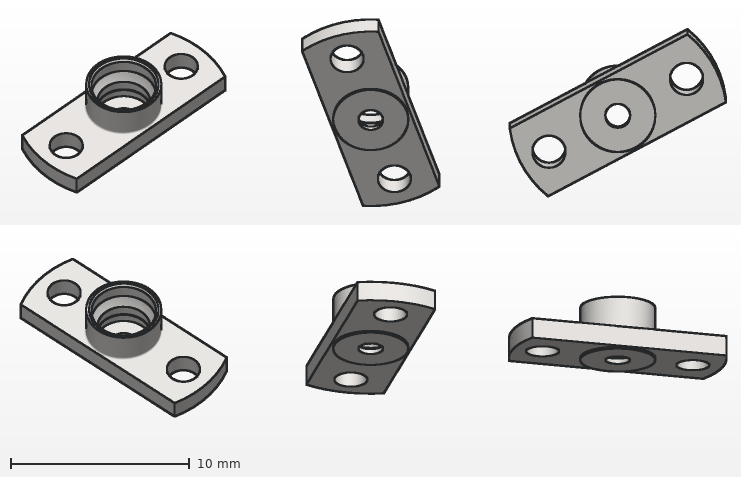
import cadquery as cq
import math

length = 12.16
width = 4.47
plate_bottom = 0.11
plate_top = 1.25
mount_hole_diameter = 1.85
mount_hole_offset = 4.38

boss_diameter = 4.2
total_height = 3.05
base_fillet = 0.12

mouth_chamfer = 0.13
bore_radius = 3.61 / 2
bore_bottom = 2.16
throat_radius = 2.94 / 2
throat_top = 1.63
throat_bottom = 1.01
undercut_radius = 3.17 / 2
undercut_top = 0.81
floor_height = 0.3
through_hole_diameter = 1.37


def make_plate():
    """Flange with parallel sides and ends rounded about the boss axis."""
    thickness = plate_top - plate_bottom
    disc = cq.Workplane("XY").workplane(offset=plate_bottom).circle(length / 2).extrude(thickness)
    strip = cq.Workplane("XY").workplane(offset=plate_bottom).rect(width, length).extrude(thickness)
    return disc.intersect(strip)


def make_boss():
    """Round boss that also stands slightly proud of the plate underside."""
    return cq.Workplane("XY").circle(boss_diameter / 2).extrude(total_height)


def make_base_fillet():
    """Concave ring blending the boss into the top of the plate."""
    boss_radius = boss_diameter / 2
    arc_inset = base_fillet * (1 - math.sqrt(0.5))
    return (
        cq.Workplane("XZ")
        .moveTo(0, plate_top)
        .lineTo(boss_radius + base_fillet, plate_top)
        .threePointArc(
            (boss_radius + arc_inset, plate_top + arc_inset),
            (boss_radius, plate_top + base_fillet),
        )
        .lineTo(0, plate_top + base_fillet)
        .close()
        .revolve(360, (0, 0, 0), (0, 1, 0))
    )


def make_bore():
    """Chamfered bore with a spherical seat, a throat and a flared undercut above the floor."""
    seat_depth = bore_bottom - throat_top
    centre_rise = (bore_radius**2 - throat_radius**2 - seat_depth**2) / (2 * seat_depth)
    centre_height = bore_bottom + centre_rise
    sphere_radius = math.hypot(bore_radius, centre_rise)
    seat_middle = (bore_bottom + throat_top) / 2
    seat_middle_radius = math.sqrt(sphere_radius**2 - (centre_height - seat_middle) ** 2)
    return (
        cq.Workplane("XZ")
        .moveTo(0, floor_height)
        .lineTo(undercut_radius, floor_height)
        .lineTo(undercut_radius, undercut_top)
        .lineTo(throat_radius, throat_bottom)
        .lineTo(throat_radius, throat_top)
        .threePointArc((seat_middle_radius, seat_middle), (bore_radius, bore_bottom))
        .lineTo(bore_radius, total_height - mouth_chamfer)
        .lineTo(bore_radius + mouth_chamfer, total_height)
        .lineTo(0, total_height)
        .close()
        .revolve(360, (0, 0, 0), (0, 1, 0))
    )


def make_through_holes():
    """Two mounting holes and the smaller hole through the bore floor."""
    mounts = (
        cq.Workplane("XY")
        .pushPoints([(0, -mount_hole_offset), (0, mount_hole_offset)])
        .circle(mount_hole_diameter / 2)
        .extrude(total_height)
    )
    centre = cq.Workplane("XY").circle(through_hole_diameter / 2).extrude(total_height)
    return mounts.union(centre)


body = make_plate().union(make_boss()).union(make_base_fillet())
result = body.cut(make_bore()).cut(make_through_holes())